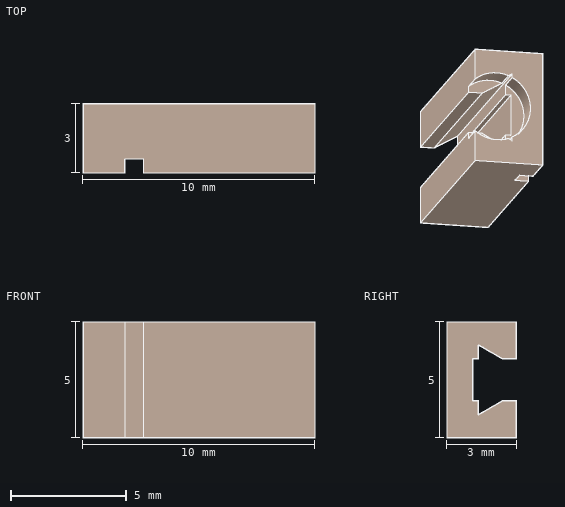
import cadquery as cq
import math

length = 10.0
depth = 3.0
height = 5.0
mid_height = height / 2

groove_start = 1.8
groove_width = 0.8
groove_depth = 0.6

recess_radius = 1.5
recess_center_y = 2.05
recess_depth = 1.2

slot_width = 1.8
slot_floor_y = 1.12
dovetail_floor_y = 1.36
dovetail_width = 3.0
dovetail_flank_angle = 30.0


def end_plane():
    """Sketch plane on the -X end: local x is Y, local y is Z, extrusion runs along +X."""
    return cq.Workplane("YZ")


def make_block():
    return cq.Workplane("XY").box(length, depth, height, centered=False)


def make_groove():
    return (
        cq.Workplane("XY")
        .box(groove_width, groove_depth, height, centered=False)
        .translate((groove_start, 0, 0))
    )


def make_recess():
    return (
        end_plane()
        .center(recess_center_y, mid_height)
        .circle(recess_radius)
        .extrude(recess_depth)
    )


def make_channel():
    slot_half = slot_width / 2
    dovetail_half = dovetail_width / 2
    flank_run = (dovetail_half - slot_half) / math.tan(math.radians(dovetail_flank_angle))
    upper_half = [
        (slot_floor_y, slot_half),
        (dovetail_floor_y, slot_half),
        (dovetail_floor_y, dovetail_half),
        (dovetail_floor_y + flank_run, slot_half),
        (depth, slot_half),
    ]
    lower_half = [(y, -z) for y, z in reversed(upper_half)]
    return end_plane().center(0, mid_height).polyline(upper_half + lower_half).close().extrude(length)


result = make_block().cut(make_groove()).cut(make_recess()).cut(make_channel())